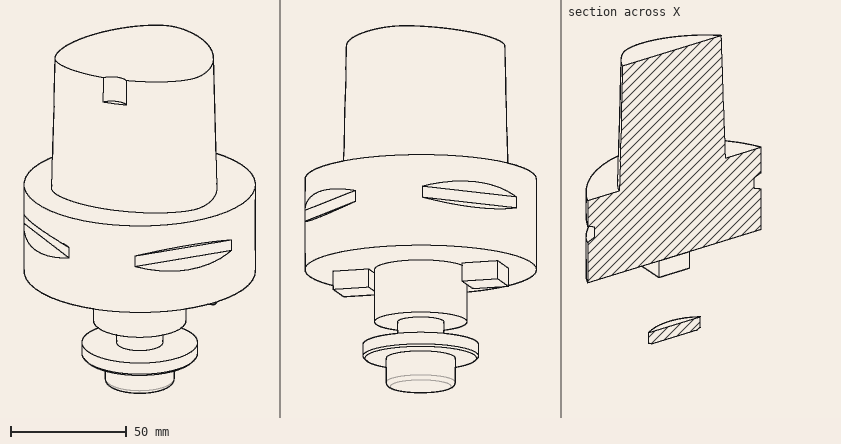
import cadquery as cq
import math


shank_height = 60.0
shank_base_width = 71.5
shank_taper = 1 / 20
lobe_offset = 2.7
outline_points = 48
notch_radius = 6.7
notch_depth = 11.2
notch_axis_y = -35.5

collar_diameter = 100
collar_height = 40.0
groove_floor_distance = 44.4
groove_floor_height = 4.8
groove_flank_angle = 30
groove_centre_depth = 16.4
first_groove_angle = 45
groove_count = 4

key_size = 16.0
key_height = 8.0
key_inner_x = 21.0

spigot_diameter = 40.0
spigot_length = 23.0
neck_diameter = 20.0
neck_length = 10.0
washer_diameter = 50
washer_thickness = 6
washer_chamfer = 0.9
head_diameter = 29.8
head_fillet = 1.8
overall_height = 151.5
head_length = (
    overall_height - shank_height - collar_height - spigot_length - neck_length - washer_thickness
)


def lobed_point(mean_radius, angle):
    """Point on a constant-width three-lobed curve with one lobe towards +Y."""
    along = (mean_radius * math.cos(angle)
             - 2 * lobe_offset * math.cos(2 * angle)
             + lobe_offset * math.cos(4 * angle))
    across = (mean_radius * math.sin(angle)
              + 2 * lobe_offset * math.sin(2 * angle)
              + lobe_offset * math.sin(4 * angle))
    return (across, -along)


def lobed_wire(width, z):
    step = 2 * math.pi / outline_points
    points = [lobed_point(width / 2, i * step) for i in range(outline_points)]
    return cq.Workplane("XY", origin=(0, 0, z)).spline(points, periodic=True).wire().val()


def make_shank():
    top_width = shank_base_width - shank_taper * shank_height
    base = lobed_wire(shank_base_width, 0)
    top = lobed_wire(top_width, shank_height)
    shank = cq.Workplane(cq.Solid.makeLoft([base, top], True))
    notch = (
        cq.Workplane("XY", origin=(0, notch_axis_y, shank_height - notch_depth))
        .circle(notch_radius)
        .extrude(notch_depth)
    )
    return shank.cut(notch)


def cylinder_below(diameter, length, top_z):
    return cq.Workplane("XY", origin=(0, 0, top_z)).circle(diameter / 2).extrude(-length)


def make_groove():
    """Straight trapezoidal groove across the +X side of the collar."""
    collar_radius = collar_diameter / 2
    floor_half = groove_floor_height / 2
    flank_rise = (collar_radius - groove_floor_distance) * math.tan(math.radians(groove_flank_angle))
    mouth_half = floor_half + flank_rise
    return (
        cq.Workplane("XZ", origin=(0, 0, -groove_centre_depth))
        .moveTo(groove_floor_distance, -floor_half)
        .lineTo(collar_radius, -mouth_half)
        .lineTo(collar_radius, mouth_half)
        .lineTo(groove_floor_distance, floor_half)
        .close()
        .extrude(collar_radius, both=True)
    )


def make_collar():
    collar = cylinder_below(collar_diameter, collar_height, 0)
    groove = make_groove()
    for i in range(groove_count):
        angle = first_groove_angle + i * 360 / groove_count
        collar = collar.cut(groove.rotate((0, 0, 0), (0, 0, 1), angle))
    return collar


def make_keys():
    key_centre_x = key_inner_x + key_size / 2
    return (
        cq.Workplane("XY", origin=(0, 0, -collar_height))
        .pushPoints([(-key_centre_x, 0), (key_centre_x, 0)])
        .rect(key_size, key_size)
        .extrude(-key_height)
    )


def make_spigot_and_screw():
    spigot_top = -collar_height
    neck_top = spigot_top - spigot_length
    washer_top = neck_top - neck_length
    head_top = washer_top - washer_thickness
    spigot = cylinder_below(spigot_diameter, spigot_length, spigot_top)
    neck = cylinder_below(neck_diameter, neck_length, neck_top)
    washer = cylinder_below(washer_diameter, washer_thickness, washer_top)
    washer = washer.faces("<Z").edges().chamfer(washer_chamfer)
    head = cylinder_below(head_diameter, head_length, head_top)
    head = head.faces("<Z").edges().fillet(head_fillet)
    return spigot.union(neck).union(washer).union(head)


result = make_collar().union(make_shank()).union(make_keys()).union(make_spigot_and_screw())